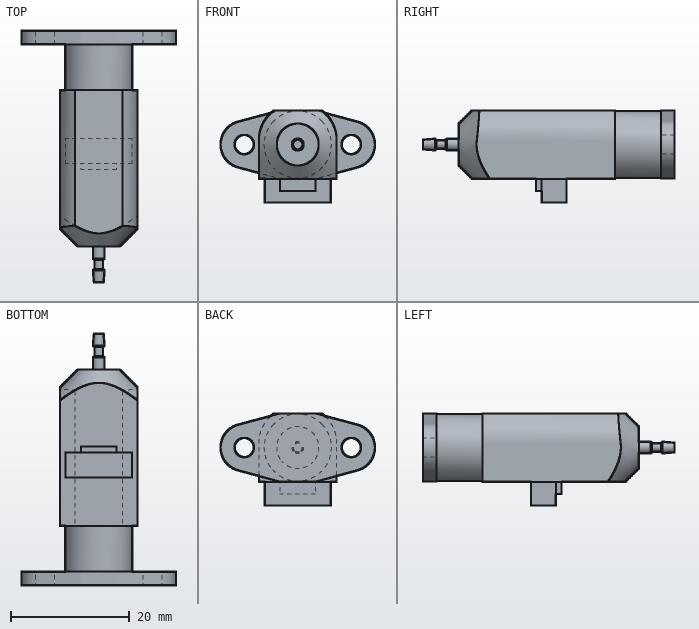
import cadquery as cq
import math


flange_thickness = 2.3
flange_half_height = 5.75
flange_end_radius = 4.0
flange_taper_angle = 15.0
hole_spacing = 18.0
hole_diameter = 3.2

neck_diameter = 11.3
neck_end = 10.0

body_end = 36.3
body_half_width = 6.55
body_top = 5.75
body_bottom = -5.78
body_top_half_width = 4.0
shoulder_start = 0.75
nose_radius = 3.53

connector_width = 11.15
connector_height = 4.0
connector_start = 18.15
connector_length = 4.2
latch_width = 6.05
latch_height = 2.05
latch_length = 0.95

pin_radius = 1.0
groove_radius = 0.75
tip_radius = 0.83
pin_step = 0.25
pin_base_length = 2.0
barb_start = 4.0
pin_length = 6.0


def make_flange():
    half_spacing = hole_spacing / 2
    taper = math.radians(flange_taper_angle)
    tangent_x = half_spacing + flange_end_radius * math.sin(taper)
    tangent_z = flange_end_radius * math.cos(taper)
    flat_half_width = tangent_x - (flange_half_height - tangent_z) / math.tan(taper)
    end_x = half_spacing + flange_end_radius
    return (
        cq.Workplane("XZ")
        .moveTo(-flat_half_width, flange_half_height)
        .lineTo(flat_half_width, flange_half_height)
        .lineTo(tangent_x, tangent_z)
        .threePointArc((end_x, 0), (tangent_x, -tangent_z))
        .lineTo(flat_half_width, -flange_half_height)
        .lineTo(-flat_half_width, -flange_half_height)
        .lineTo(-tangent_x, -tangent_z)
        .threePointArc((-end_x, 0), (-tangent_x, tangent_z))
        .close()
        .pushPoints([(-half_spacing, 0), (half_spacing, 0)])
        .circle(hole_diameter / 2)
        .extrude(flange_thickness)
    )


def make_neck():
    return cq.Workplane("XZ").circle(neck_diameter / 2).extrude(neck_end)


def make_body():
    inset = body_half_width - body_top_half_width
    rise = body_top - shoulder_start
    radius = (inset**2 + rise**2) / (2 * inset)
    center_x = body_half_width - radius
    half_sweep = math.atan2(rise, body_top_half_width - center_x) / 2
    middle_x = center_x + radius * math.cos(half_sweep)
    middle_z = shoulder_start + radius * math.sin(half_sweep)
    block = (
        cq.Workplane("XZ", origin=(0, -neck_end, 0))
        .moveTo(-body_half_width, body_bottom)
        .lineTo(body_half_width, body_bottom)
        .lineTo(body_half_width, shoulder_start)
        .threePointArc((middle_x, middle_z), (body_top_half_width, body_top))
        .lineTo(-body_top_half_width, body_top)
        .threePointArc((-middle_x, middle_z), (-body_half_width, shoulder_start))
        .close()
        .extrude(body_end - neck_end)
    )
    cone = (
        cq.Workplane("XY")
        .moveTo(0, -neck_end)
        .lineTo(nose_radius + body_end - neck_end, -neck_end)
        .lineTo(nose_radius, -body_end)
        .lineTo(0, -body_end)
        .close()
        .revolve(360, (0, 0), (0, 1))
    )
    return block.intersect(cone)


def make_hanging_block(width, height, start, length):
    """Block fixed to the body's flat bottom, running from start toward -Y."""
    center = (0, -start - length / 2, body_bottom)
    return cq.Workplane("XY", origin=center).rect(width, length).extrude(-height)


def make_pin():
    profile = [
        (0, 0),
        (pin_radius, 0),
        (pin_radius, pin_base_length),
        (groove_radius, pin_base_length + pin_step),
        (groove_radius, barb_start - pin_step),
        (pin_radius, barb_start),
        (tip_radius, pin_length),
        (0, pin_length),
    ]
    points = [(radius, -body_end - distance) for radius, distance in profile]
    return cq.Workplane("XY").polyline(points).close().revolve(360, (0, 0), (0, 1))


connector = make_hanging_block(connector_width, connector_height, connector_start, connector_length)
latch_start = connector_start + connector_length
latch = make_hanging_block(latch_width, latch_height, latch_start, latch_length)

result = make_flange()
for feature in (make_neck(), make_body(), connector, latch, make_pin()):
    result = result.union(feature)